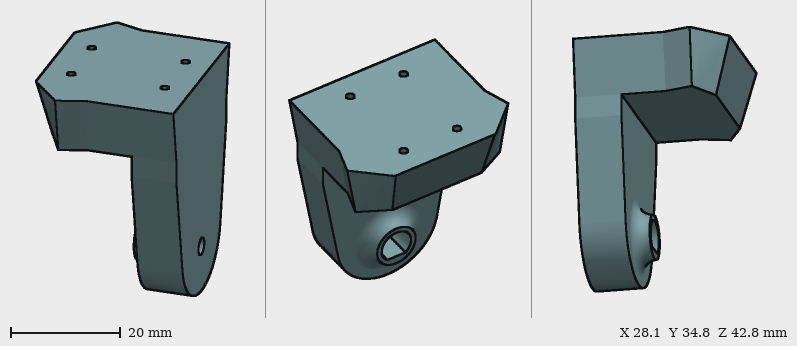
import cadquery as cq
import math

total_height = 42.8

plate_thickness = 10.8
corner_x = -22.15
top_shoulder_x = -16.8
bottom_shoulder_x = -16.95
front_bevel_depth = 0.2
top_front_x = -28.1
top_front_half_width = 10.7
top_bevel_width = 0.43
top_corner_half_width = 17.38
top_back_half_width = 15.7
bottom_front_x = -25.3
bottom_front_half_width = 9.65
bottom_bevel_width = 0.35
bottom_corner_half_width = 15.6

arm_thickness = 8.65
arm_half_width = 13.95
arm_straight_end_z = -14.8
arm_tangent_z = -34.03
arm_tangent_half_width = 10.6

shaft_z = -33.8
boss_length = 2.95
boss_radius = 4.15
boss_base_radius = boss_radius + boss_length
bore_radius = 3.15
bore_flat_drop = 2.5
bore_depth = 8.55
through_hole_diameter = 3.25

screw_diameter = 1.55
screw_depth = 8.55
screw_spacing_x = 18.0
screw_spacing_y = 11.5
screw_center_x = -14.05


def plate_outline(front_x, front_half, bevel_width, corner_half, shoulder_x, back_half):
    """Closed plate outline, mirrored about Y = 0."""
    side = [
        (0, back_half),
        (shoulder_x, back_half),
        (corner_x, corner_half),
        (front_x + front_bevel_depth, front_half + bevel_width),
        (front_x, front_half),
    ]
    return side + [(x, -y) for x, y in reversed(side)]


def make_plate():
    top = plate_outline(
        top_front_x, top_front_half_width, top_bevel_width,
        top_corner_half_width, top_shoulder_x, top_back_half_width,
    )
    bottom = plate_outline(
        bottom_front_x, bottom_front_half_width, bottom_bevel_width,
        bottom_corner_half_width, bottom_shoulder_x, arm_half_width,
    )
    return (
        cq.Workplane("XY")
        .polyline(top).close()
        .workplane(offset=-plate_thickness)
        .polyline(bottom).close()
        .loft(ruled=True)
    )


def make_arm():
    return (
        cq.Workplane("YZ")
        .moveTo(-arm_half_width, -plate_thickness)
        .lineTo(arm_half_width, -plate_thickness)
        .lineTo(arm_half_width, arm_straight_end_z)
        .lineTo(arm_tangent_half_width, arm_tangent_z)
        .threePointArc((0, -total_height), (-arm_tangent_half_width, arm_tangent_z))
        .lineTo(-arm_half_width, arm_straight_end_z)
        .close()
        .extrude(-arm_thickness)
    )


def make_boss():
    """Boss with a concave quarter-round flare, revolved about the shaft axis."""
    tip_x = -arm_thickness - boss_length
    half_step = boss_length * math.cos(math.radians(45))
    flare_middle = (
        tip_x + half_step,
        boss_base_radius - half_step,
    )
    return (
        cq.Workplane("XY")
        .moveTo(-arm_thickness, 0)
        .lineTo(tip_x, 0)
        .lineTo(tip_x, boss_radius)
        .threePointArc(flare_middle, (-arm_thickness, boss_base_radius))
        .close()
        .revolve(360, (0, 0, 0), (1, 0, 0))
        .translate((0, 0, shaft_z))
    )


def make_shaft_bore():
    """D-shaped blind bore from the boss tip, with a smaller round hole through the arm."""
    tip_x = -arm_thickness - boss_length
    bore = cq.Workplane("YZ", origin=(tip_x, 0, shaft_z)).circle(bore_radius).extrude(bore_depth)
    above_flat = (
        cq.Workplane("YZ", origin=(tip_x, 0, shaft_z - bore_flat_drop))
        .rect(2 * bore_radius, 2 * bore_radius, centered=(True, False))
        .extrude(bore_depth)
    )
    through_hole = (
        cq.Workplane("YZ", origin=(tip_x, 0, shaft_z))
        .circle(through_hole_diameter / 2)
        .extrude(-tip_x)
    )
    return bore.intersect(above_flat).union(through_hole)


def make_screw_holes():
    return (
        cq.Workplane("XY", origin=(screw_center_x, 0, 0))
        .rarray(screw_spacing_x, screw_spacing_y, 2, 2)
        .circle(screw_diameter / 2)
        .extrude(-screw_depth)
    )


body = make_plate().union(make_arm()).union(make_boss())
result = body.cut(make_shaft_bore()).cut(make_screw_holes())